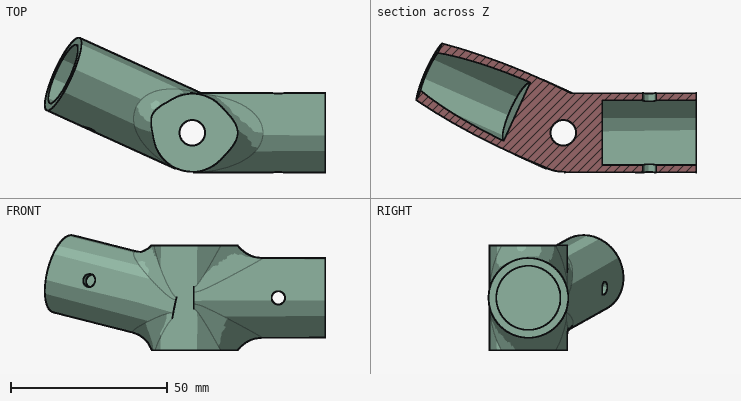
import cadquery as cq

hub_diameter = 25.0
hub_height = 33.5
hub_bore_diameter = 8.1

socket_outer_diameter = 25.5
socket_bore_diameter = 20.5
socket_bore_depth = 30.0
socket_start = 0.5
pin_hole_diameter = 4.2
pin_hole_from_end = 15.0

straight_reach = 42.5

tilted_reach = 46.55
tilted_swing = 23.8
tilted_rise = 14.25
tilted_axis_height = -2.8

fillet_radius = 10.0
tight_fillet_radius = 6.0
tall_post_extra = 40.0
tall_post_height = hub_height + tall_post_extra

ORIGIN = (0, 0, 0)
Y_AXIS = (0, 1, 0)
Z_AXIS = (0, 0, 1)


def along_x(shape):
    """Keep a shape modelled along +X on the axis of the straight socket."""
    return shape


def along_tilted_axis(shape):
    """Move a shape modelled along +X onto the axis of the tilted socket."""
    swung = shape.rotate(ORIGIN, Z_AXIS, 180 - tilted_swing)
    raised = swung.rotate(ORIGIN, Y_AXIS, tilted_rise)
    return raised.translate((0, 0, tilted_axis_height))


def z_cylinder(diameter, height):
    """Cylinder on the Z axis, centred on the origin; its face seam is on the -X side."""
    base = cq.Plane(origin=(0, 0, -height / 2), xDir=(-1, 0, 0), normal=Z_AXIS)
    return cq.Workplane(base).circle(diameter / 2).extrude(height)


def x_cylinder(diameter, start, end):
    """Cylinder on the X axis between two X positions."""
    return cq.Workplane("YZ", origin=(start, 0, 0)).circle(diameter / 2).extrude(end - start)


def meeting_curves(branch, side):
    """Spline edges where post and tube cross, above (side 1) or below (side -1) mid-height."""
    curves = []
    for edge in branch.edges().vals():
        height = edge.Center().z
        if edge.geomType() == "BSPLINE" and height * side > 0:
            curves.append(edge)
    return curves


def filleted_branch(post, place, reach, upper_radius, lower_radius):
    """Tall post with one solid tube, blended above and below where they meet."""
    tube = place(x_cylinder(socket_outer_diameter, socket_start, reach))
    branch = post.union(tube)
    blended_above = branch.newObject(meeting_curves(branch, 1)).fillet(upper_radius)
    blended_below = branch.newObject(meeting_curves(branch, -1)).fillet(lower_radius)
    return blended_above.union(blended_below)


def socket_cutter(place, reach):
    """Blind bore from the open end, with a pin hole across both walls."""
    bore = x_cylinder(socket_bore_diameter, reach - socket_bore_depth, reach)
    pin_hole = (
        cq.Workplane("XZ")
        .center(reach - pin_hole_from_end, 0)
        .circle(pin_hole_diameter / 2)
        .extrude(socket_outer_diameter, both=True)
    )
    return place(bore.union(pin_hole))


def trim_to_hub_height(body):
    """Cut the tall post and its fillets flat at both ends of the hub."""
    fillet_reach = hub_diameter / 2 + fillet_radius
    excess = tall_post_height - hub_height
    end_cutter = cq.Workplane("XY").circle(fillet_reach).extrude(excess)
    above = end_cutter.translate((0, 0, hub_height / 2))
    below = end_cutter.translate((0, 0, -hub_height / 2 - excess))
    return body.cut(above).cut(below)


tall_post = z_cylinder(hub_diameter, tall_post_height)
turned_post = tall_post.rotate(ORIGIN, Z_AXIS, 180)

straight_branch = filleted_branch(tall_post, along_x, straight_reach, fillet_radius, fillet_radius)
tilted_branch = filleted_branch(
    turned_post, along_tilted_axis, tilted_reach, tight_fillet_radius, fillet_radius
)
body = trim_to_hub_height(straight_branch.union(tilted_branch))

for place, reach in ((along_x, straight_reach), (along_tilted_axis, tilted_reach)):
    body = body.cut(socket_cutter(place, reach))

result = body.cut(z_cylinder(hub_bore_diameter, hub_height))